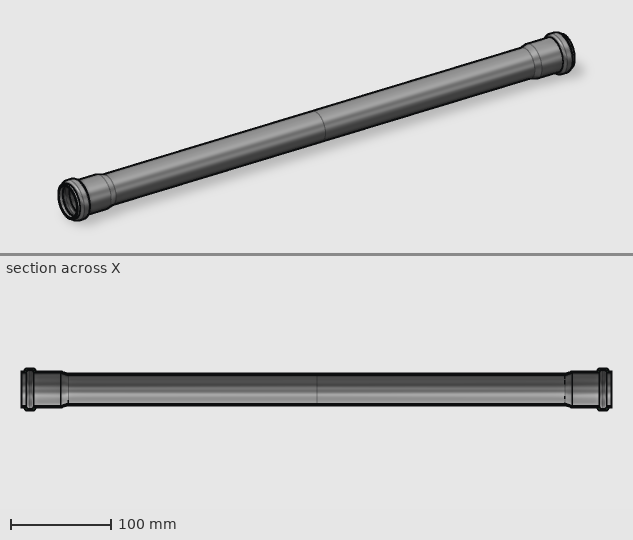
import cadquery as cq

length = 590.0
pipe_radius = 32.5 / 2
bore_radius = 28.5 / 2

socket_radius = 36.5 / 2
socket_bore_radius = 33.0 / 2
socket_depth = 39.5
taper_length = 7.0

bead_radius = 42.5 / 2
groove_radius = 39.0 / 2
bead_width = 11.0
lip_length = 3.0

half_length = length / 2
taper_start = half_length - socket_depth - taper_length
socket_start = half_length - socket_depth
bead_middle = half_length - lip_length - bead_width / 2
wall = bead_radius - groove_radius
groove_width = bead_width - 2 * wall
bead_round = bead_radius - socket_radius


def socket_body(small_radius, large_radius, crest_radius, crest_width):
    """Solid of revolution toward +Y: taper, socket, rounded bead and short lip."""
    bead_start = bead_middle - crest_width / 2
    bead_end = bead_middle + crest_width / 2
    profile = (
        cq.Workplane("XY")
        .moveTo(0, taper_start)
        .lineTo(small_radius, taper_start)
        .lineTo(large_radius, socket_start)
        .lineTo(large_radius, bead_start)
        .radiusArc((crest_radius, bead_start + bead_round), -bead_round)
        .lineTo(crest_radius, bead_end - bead_round)
        .radiusArc((large_radius, bead_end), -bead_round)
        .lineTo(large_radius, half_length)
        .lineTo(0, half_length)
        .close()
    )
    return profile.revolve(360, (0, 0, 0), (0, 1, 0))


def barrel():
    """Straight pipe wall between the two socket tapers."""
    ring = cq.Workplane("XZ").circle(pipe_radius).circle(bore_radius)
    return ring.extrude(taper_start, both=True)


def socket():
    """Hollow socket at the +Y end."""
    outside = socket_body(pipe_radius, socket_radius, bead_radius, bead_width)
    inside = socket_body(bore_radius, socket_bore_radius, groove_radius, groove_width)
    return outside.cut(inside)


end_socket = socket()
result = barrel().union(end_socket).union(end_socket.mirror("XZ"))